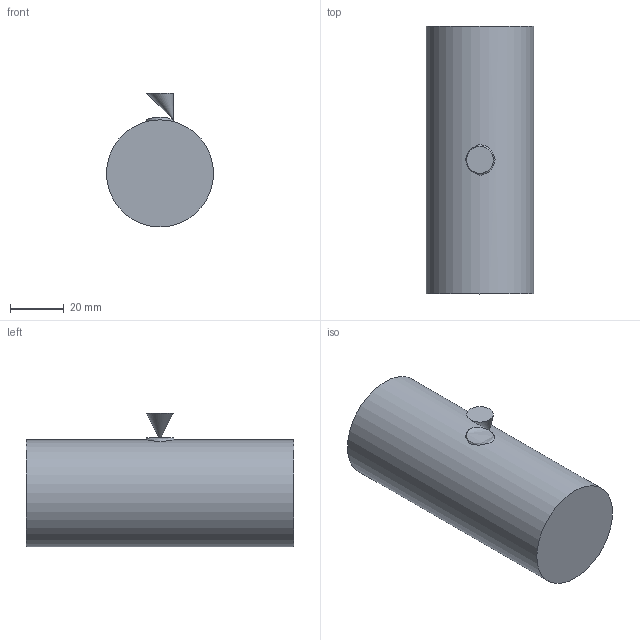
import cadquery as cq

body_diameter = 40.0
body_length = 100.0
pin_diameter = 10.0
pin_projection = 10.0
root_fillet = 1.0

body_radius = body_diameter / 2
pin_top = body_radius + pin_projection


def make_body():
    """Solid cylinder along Y, centred on the origin."""
    return cq.Workplane("XZ").circle(body_radius).extrude(body_length / 2, both=True)


def make_pin():
    """Upright pin from the body axis to its free end."""
    return cq.Workplane("XY").circle(pin_diameter / 2).extrude(pin_top)


def fillet_pin_root(part):
    """Round the saddle-shaped edge where the pin meets the body."""
    pin_reach = pin_diameter
    root_zone = cq.selectors.BoxSelector(
        (-pin_reach, -pin_reach, 0),
        (pin_reach, pin_reach, body_radius + pin_projection / 2),
        boundingbox=True,
    )
    return part.edges(root_zone).fillet(root_fillet)


result = fillet_pin_root(make_body().union(make_pin()))